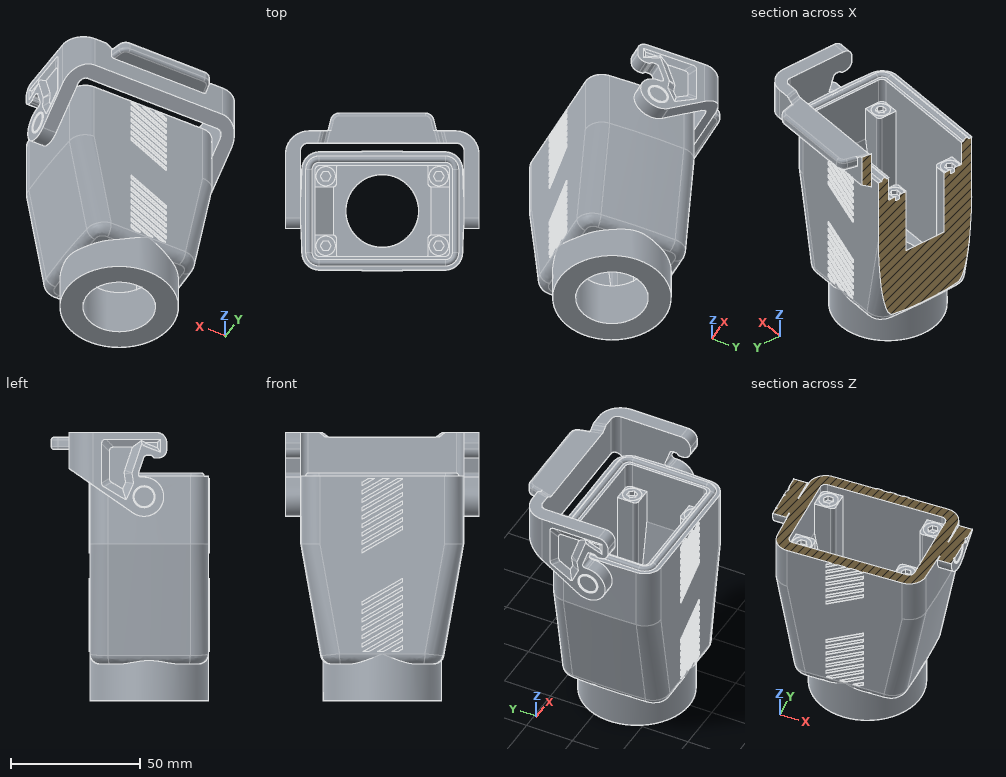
import cadquery as cq
import math

collar_radius = 23.0
bore_radius = 14.0
body_half_y = 23.0
side_half_x = 31.2
side_bow = 0.4
body_corner = 7.1
rim_z = 87.0
kink_z = 60.7
body_bottom_z = 14.2
bottom_half_x = 22.9
bottom_fillet = 4.0

cavity_half_x = 26.1
cavity_half_y = 17.7
cavity_corner = 2.1
floor_z = 20.8
floor_half_x = 18.8

bead_half_x = 28.4
bead_half_y = 20.1
bead_radius = 1.2
bead_corner = 4.0

boss_size = 8.4
boss_top_z = 75.8
boss_round = 1.6
screw_x = cavity_half_x - boss_size / 2
screw_y = cavity_half_y - boss_size / 2
screw_head_radius = 3.7
screw_head_rise = 0.1
screw_socket_flats = 3.6
screw_socket_depth = 2.1

stripe_relief = 0.3
stripe_half_x = 7.8
stripe_angle = 30
stripe_thickness = 1.1
stripes_per_group = 9
stripe_group_height = 26.0
stripe_pitch = stripe_group_height / (stripes_per_group - 1)
upper_group_z = 62.4
lower_group_z = 42.2
stripe_band_bottom = 19.0
stripe_band_top = 86.0

lever_half_x = 37.5
lever_inner_half_x = 31.6
lever_back_y = 31.1
lever_inner_back_y = 26.2
lever_outer_corner = 9.2
lever_inner_corner = 2.8
lever_top_z = 103.9
lever_back_bottom_z = 89.9
nose_y = -6.9
nose_top_round = 4.2
nose_bottom_z = 93.9
nose_bottom_round = 3.4
hook_bump_front_y = -1.9
hook_bump_back_y = -0.9
hook_seat_z = 95.0
hook_top_y = 1.8
hook_bottom_y = 4.7
hook_bump_round = 0.6
hook_round = 1.2
pivot_y = 2.0
pivot_z = 79.0
pivot_eye_radius = 7.6
pin_radius = 3.8
pin_gap = 0.4
pin_gap_depth = 0.3

pocket_depth = 1.4
pocket_wall_run = 3.0
pocket_taper = math.degrees(math.atan(pocket_wall_run / pocket_depth))
pocket_round = 4.2
pocket_tip_round = 0.5
nose_pocket_depth = 0.5
pocket_top_z = 101.2
pocket_bottom_z = 83.3
pocket_back_y = 18.4
pocket_front_y = 2.3
pocket_bend = (6.6, 88.2)
pocket_knee = (6.0, 84.2)
pocket_tip = (8.9, 77.7)
nose_pocket_back_y = 4.2
nose_pocket_front_y = -4.4
nose_pocket_tip_z = 96.2
nose_pocket_crest = (2.1, 98.7)

tab_tip_y = 37.9
tab_tip_half_x = 19.3
tab_lean = 0.25
tab_corner = 3.4
tab_bottom_z = 97.3
tab_top_z = 102.0
tab_edge_fillet = 1.1
notch_floor_half_x = 20.8
notch_slope_run = 2.4
notch_round = 1.8
notch_shoulder = 3.1
notch_headroom = 1.0


def rounded_outline(plane, corners):
    """Closed outline through (u, v, radius) corners, with an arc at each corner of non-zero radius."""
    stops = []
    for i, (u, v, radius) in enumerate(corners):
        here = cq.Vector(u, v)
        before = (cq.Vector(*corners[i - 1][:2]) - here).normalized()
        after = (cq.Vector(*corners[(i + 1) % len(corners)][:2]) - here).normalized()
        if radius == 0:
            stops.append((here, None, here))
            continue
        half_angle = before.getAngle(after) / 2
        setback = radius / math.tan(half_angle)
        to_middle = radius / math.sin(half_angle) - radius
        middle = here + (before + after).normalized() * to_middle
        stops.append((here + before * setback, middle, here + after * setback))
    path = plane.moveTo(*stops[0][2].toTuple()[:2])
    for start, middle, end in stops[1:] + stops[:1]:
        path = path.lineTo(*start.toTuple()[:2])
        if middle is not None:
            path = path.threePointArc(middle.toTuple()[:2], end.toTuple()[:2])
    return path.wire() if stops[0][1] else path.close()


def mirrored_pair(shape, plane):
    return shape.union(shape.mirror(plane))


def body_outline(plane, half_x):
    """Rounded rectangle whose two X sides bulge slightly outward."""
    flat_x = half_x - body_corner
    flat_y = body_half_y - body_corner
    arc_x = flat_x + body_corner * math.sqrt(0.5)
    arc_y = flat_y + body_corner * math.sqrt(0.5)
    bow_x = half_x + side_bow
    return (
        plane.moveTo(-flat_x, -body_half_y).lineTo(flat_x, -body_half_y)
        .threePointArc((arc_x, -arc_y), (half_x, -flat_y))
        .threePointArc((bow_x, 0), (half_x, flat_y))
        .threePointArc((arc_x, arc_y), (flat_x, body_half_y))
        .lineTo(-flat_x, body_half_y)
        .threePointArc((-arc_x, arc_y), (-half_x, flat_y))
        .threePointArc((-bow_x, 0), (-half_x, -flat_y))
        .threePointArc((-arc_x, -arc_y), (-flat_x, -body_half_y))
        .close()
    )


def make_body():
    lower = body_outline(cq.Workplane().workplane(offset=body_bottom_z), bottom_half_x)
    lower = body_outline(lower.workplane(offset=kink_z - body_bottom_z), side_half_x).loft(ruled=True)
    lower = lower.faces("<Z").edges().fillet(bottom_fillet)
    upper = body_outline(cq.Workplane().workplane(offset=kink_z), side_half_x).extrude(rim_z - kink_z)
    collar = cq.Workplane().circle(collar_radius).extrude(floor_z)
    return lower.union(upper).union(collar)


def cavity_outline(half_x):
    return cq.Sketch().rect(2 * half_x, 2 * cavity_half_y).vertices().fillet(cavity_corner)


def make_cavity():
    above_floor = cq.Location(cq.Vector(0, 0, kink_z - floor_z))
    kink_outline = cavity_outline(cavity_half_x).moved(above_floor)
    lower = cq.Workplane(origin=(0, 0, floor_z)).placeSketch(cavity_outline(floor_half_x), kink_outline)
    upper = cq.Workplane(origin=(0, 0, kink_z)).placeSketch(cavity_outline(cavity_half_x))
    bore = cq.Workplane().circle(bore_radius).extrude(floor_z)
    return lower.loft(ruled=True).union(upper.extrude(rim_z - kink_z)).union(bore)


def make_bead():
    """Round bead running along the rim, with its lower half sunk into the rim."""
    path = rounded_outline(cq.Workplane(origin=(0, 0, rim_z)), [
        (bead_half_x, 0, 0),
        (bead_half_x, bead_half_y, bead_corner),
        (-bead_half_x, bead_half_y, bead_corner),
        (-bead_half_x, -bead_half_y, bead_corner),
        (bead_half_x, -bead_half_y, bead_corner),
    ])
    section = cq.Workplane("XZ", origin=(bead_half_x, 0, rim_z)).circle(bead_radius)
    return section.sweep(path)


def at_screws(plane):
    return plane.rect(2 * screw_x, 2 * screw_y, forConstruction=True).vertices()


def make_bosses():
    """Posts filling the cavity corners; their outer parts end inside the walls."""
    posts = at_screws(cq.Workplane(origin=(0, 0, floor_z))).rect(boss_size, boss_size)
    posts = posts.extrude(boss_top_z - floor_z)
    inner_zone = cq.selectors.BoxSelector((-screw_x, -screw_y, 0), (screw_x, screw_y, rim_z))
    return posts.edges("|Z").edges(inner_zone).fillet(boss_round)


def make_screw_heads():
    heads = at_screws(cq.Workplane(origin=(0, 0, boss_top_z))).circle(screw_head_radius)
    return heads.extrude(screw_head_rise)


def make_screw_sockets():
    """Hexagonal sockets whose corners point along Y."""
    top = cq.Workplane(origin=(0, 0, boss_top_z + screw_head_rise))
    across_corners = screw_socket_flats / math.cos(math.pi / 6)
    socket = cq.Sketch().regularPolygon(across_corners / 2, 6, 30)
    return at_screws(top).placeSketch(socket).extrude(-screw_socket_depth)


def make_stripes():
    """Slanted ribs crossing the band, set on the front face and mirrored to the back."""
    middles = [upper_group_z + k * stripe_pitch for k in range(stripes_per_group)]
    middles += [lower_group_z - k * stripe_pitch for k in range(stripes_per_group)]
    rise = stripe_half_x * math.tan(math.radians(stripe_angle))
    half_height = stripe_thickness / 2 / math.cos(math.radians(stripe_angle))
    band = (
        cq.Workplane("XZ", origin=(0, -body_half_y, (stripe_band_bottom + stripe_band_top) / 2))
        .rect(2 * stripe_half_x, stripe_band_top - stripe_band_bottom).extrude(stripe_relief)
    )
    stripes = cq.Workplane("XZ", origin=(0, -body_half_y, 0))
    for z in middles:
        stripes = stripes.polyline([
            (-stripe_half_x, z - rise - half_height),
            (stripe_half_x, z + rise - half_height),
            (stripe_half_x, z + rise + half_height),
            (-stripe_half_x, z - rise + half_height),
        ]).close()
    return mirrored_pair(stripes.extrude(stripe_relief).intersect(band), "XZ")


def make_lever_side():
    """Side outline of the lever, extruded across its whole width."""
    run = lever_back_y - pivot_y
    rise = lever_back_bottom_z - pivot_z
    tangent_angle = math.atan2(rise, run) - math.acos(pivot_eye_radius / math.hypot(run, rise))
    tangent_y = pivot_y + pivot_eye_radius * math.cos(tangent_angle)
    tangent_z = pivot_z + pivot_eye_radius * math.sin(tangent_angle)
    side = rounded_outline(cq.Workplane("YZ", origin=(-lever_half_x, 0, 0)), [
        (lever_back_y, lever_top_z, 0),
        (nose_y, lever_top_z, nose_top_round),
        (nose_y, nose_bottom_z, nose_bottom_round),
        (hook_bump_front_y, nose_bottom_z, hook_bump_round),
        (hook_bump_back_y, hook_seat_z, hook_bump_round),
        (hook_top_y, hook_seat_z, hook_round),
        (hook_bottom_y, pivot_z + pivot_eye_radius, hook_round),
        (pivot_y, pivot_z + pivot_eye_radius, 0),
        (tangent_y, tangent_z, 0),
        (lever_back_y, lever_back_bottom_z, 0),
    ]).extrude(2 * lever_half_x)
    eye = cq.Workplane("YZ", origin=(-lever_half_x, pivot_y, pivot_z)).circle(pivot_eye_radius)
    return side.union(eye.extrude(2 * lever_half_x))


def make_lever_plan():
    """U outline of the lever seen along Z, open toward -Y."""
    front_y = nose_y - pivot_eye_radius

    def block(half_x, back_y, radius):
        return (
            cq.Workplane().moveTo(-half_x, front_y).lineTo(half_x, front_y)
            .lineTo(half_x, back_y).lineTo(-half_x, back_y).close().extrude(lever_top_z)
            .edges("|Z and >Y").fillet(radius)
        )

    outer = block(lever_half_x, lever_back_y, lever_outer_corner)
    return outer.cut(block(lever_inner_half_x, lever_inner_back_y, lever_inner_corner))


def make_pockets():
    main = rounded_outline(cq.Workplane("YZ", origin=(-lever_half_x, 0, 0)), [
        (pocket_back_y, pocket_top_z, 0),
        (pocket_front_y, pocket_top_z, 0),
        (*pocket_bend, 0),
        (*pocket_knee, 0),
        (*pocket_tip, pocket_tip_round),
        (pocket_back_y, pocket_bottom_z, 0),
    ]).extrude(pocket_depth, taper=pocket_taper)
    for z, toward_middle in ((pocket_top_z, -1), (pocket_bottom_z, 1)):
        corner_edge = cq.selectors.NearestToPointSelector((
            -lever_half_x + pocket_depth / 2,
            pocket_back_y - pocket_wall_run / 2,
            z + toward_middle * pocket_wall_run / 2,
        ))
        main = main.edges(corner_edge).fillet(pocket_round)
    nose = rounded_outline(cq.Workplane("YZ", origin=(-lever_half_x, 0, 0)), [
        (nose_pocket_back_y, pocket_top_z, 0),
        (nose_pocket_front_y, pocket_top_z, 0),
        (nose_pocket_front_y, nose_pocket_tip_z, 0),
        (*nose_pocket_crest, 0),
    ]).extrude(nose_pocket_depth, taper=pocket_taper)
    return mirrored_pair(main.union(nose), "YZ")


def make_notch():
    """Shallow notch in the top of the lever's back wall, narrowing toward the back."""
    def outline(plane, y):
        floor_x = notch_floor_half_x + (lever_back_y - y) * tab_lean
        slope_x = floor_x + notch_slope_run
        half = [
            (slope_x + notch_shoulder, lever_top_z + notch_headroom, 0),
            (slope_x + notch_shoulder, lever_top_z, 0),
            (slope_x, lever_top_z, notch_round),
            (floor_x, tab_top_z, notch_round),
        ]
        return rounded_outline(plane, half + [(-x, z, radius) for x, z, radius in reversed(half)])

    thickness = lever_back_y - lever_inner_back_y
    inner = outline(cq.Workplane("XZ", origin=(0, lever_inner_back_y, 0)), lever_inner_back_y)
    return outline(inner.workplane(offset=-thickness), lever_back_y).loft(ruled=True)


def make_tab():
    root_y = (lever_back_y + lever_inner_back_y) / 2
    root_half_x = tab_tip_half_x + (tab_tip_y - root_y) * tab_lean
    tab = rounded_outline(cq.Workplane(origin=(0, 0, tab_bottom_z)), [
        (-root_half_x, root_y, 0),
        (root_half_x, root_y, 0),
        (tab_tip_half_x, tab_tip_y, tab_corner),
        (-tab_tip_half_x, tab_tip_y, tab_corner),
    ]).extrude(tab_top_z - tab_bottom_z)
    return tab.faces(">Z or <Z").edges("not <Y").fillet(tab_edge_fillet)


def make_pins():
    """Pivot pins joining the lever to the body, ending flush with the lever."""
    pin = cq.Workplane("YZ", origin=(-lever_half_x, pivot_y, pivot_z)).circle(pin_radius)
    return mirrored_pair(pin.extrude(lever_half_x - side_half_x), "YZ")


def make_pin_gaps():
    ring = cq.Workplane("YZ", origin=(-lever_half_x, pivot_y, pivot_z))
    ring = ring.circle(pin_radius + pin_gap).circle(pin_radius)
    return mirrored_pair(ring.extrude(pin_gap_depth), "YZ")


lever = make_lever_plan().intersect(make_lever_side()).cut(make_pockets())
lever = lever.cut(make_notch()).union(make_tab()).union(make_pins()).cut(make_pin_gaps())

hood = make_body().union(make_stripes())
hood = hood.cut(make_cavity().cut(make_bosses())).union(make_bead())
hood = hood.union(make_screw_heads()).cut(make_screw_sockets())

result = hood.union(lever).solids()